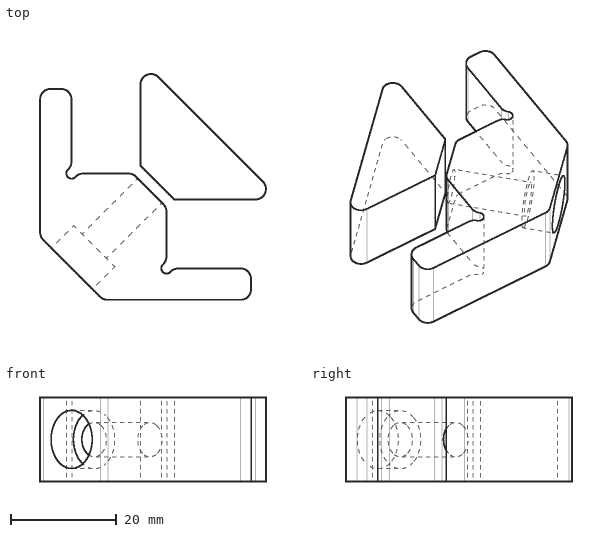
import cadquery as cq
import math

size = 42.85
height = 16.0
edge_radius = 2.0

arm_length = 40.0
arm_thickness = 6.0
core_side = 24.0
outer_chamfer = 12.0
inner_chamfer = 6.43
relief_radius = 1.0

screw_diameter = 6.5
head_diameter = 11.0
head_depth = 6.0

wedge_start = 19.0
wedge_chamfer = 6.43


def diagonal_cylinder(diameter, start, length):
    """Cylinder at mid height along the XY diagonal, starting at X = Y = start."""
    return cq.Workplane(
        cq.Solid.makeCylinder(
            diameter / 2, length, cq.Vector(start, start, height / 2), cq.Vector(1, 1, 0)
        )
    )


def round_edges_at(body, points, radius):
    """Round the vertical edges that stand on the given XY points."""
    tolerance = 0.005
    for x, y in points:
        corner = cq.selectors.BoxSelector(
            (x - tolerance, y - tolerance, 0), (x + tolerance, y + tolerance, height)
        )
        body = body.edges("|Z").edges(corner).fillet(radius)
    return body


def cut_relief(body, x, y):
    """Round relief in an inside corner, blended into both sides of the corner."""
    body = body.cut(cq.Workplane().center(x, y).circle(relief_radius).extrude(height))
    rim = [(x, y + relief_radius), (x + relief_radius, y)]
    return round_edges_at(body, rim, edge_radius)


def make_corner_block():
    outline = [
        (outer_chamfer, 0),
        (arm_length, 0),
        (arm_length, arm_thickness),
        (core_side, arm_thickness),
        (core_side, core_side - inner_chamfer),
        (core_side - inner_chamfer, core_side),
        (arm_thickness, core_side),
        (arm_thickness, arm_length),
        (0, arm_length),
        (0, outer_chamfer),
    ]
    inside_corners = [(core_side, arm_thickness), (arm_thickness, core_side)]
    rounded_corners = [point for point in outline if point not in inside_corners]

    block = cq.Workplane().polyline(outline).close().extrude(height)
    block = round_edges_at(block, rounded_corners, edge_radius)
    for x, y in inside_corners:
        block = cut_relief(block, x, y)

    seat = outer_chamfer / 2
    block = block.cut(diagonal_cylinder(head_diameter, seat, head_depth))
    return block.cut(diagonal_cylinder(screw_diameter, seat, size))


def make_wedge():
    tip_centre = size - edge_radius
    tip = tip_centre + edge_radius * (1 + math.sqrt(2))
    outline = [
        (wedge_start + wedge_chamfer, wedge_start),
        (tip, wedge_start),
        (wedge_start, tip),
        (wedge_start, wedge_start + wedge_chamfer),
    ]
    wedge = cq.Workplane().polyline(outline).close().extrude(height)
    return round_edges_at(wedge, outline[1:3], edge_radius)


corner_block = make_corner_block()
wedge = make_wedge()

result = cq.Compound.makeCompound([corner_block.val(), wedge.val()])